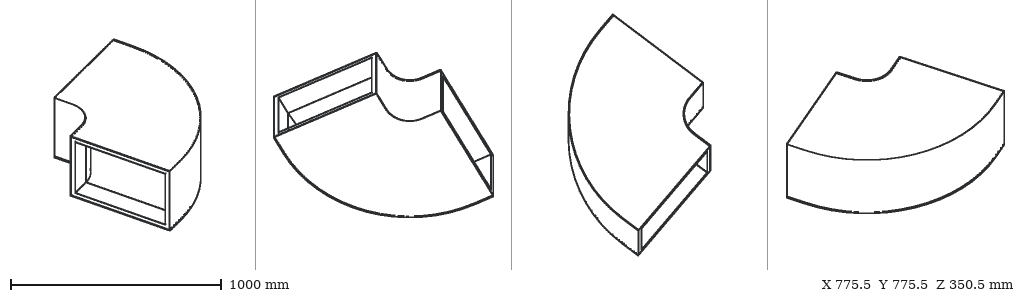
import cadquery as cq
import math

overall = 775.5
height = 350.5
leg = 100.0
throat_radius = 125.0
jacket_wall = 5.05
lining_wall = 20.0
sleeve_wall = 2.0

heel_radius = overall - leg
lining_inset = jacket_wall + lining_wall
bore_inset = lining_inset + sleeve_wall


def elbow_block(inset):
    """Solid elbow whose long sides, top and bottom are moved in by inset."""
    inner = throat_radius + inset
    outer = heel_radius - inset
    inner_mid = leg + inner * math.sqrt(0.5)
    outer_mid = leg + outer * math.sqrt(0.5)
    return (
        cq.Workplane("XY")
        .workplane(offset=inset - height / 2)
        .moveTo(0, leg + inner)
        .lineTo(leg, leg + inner)
        .threePointArc((inner_mid, inner_mid), (leg + inner, leg))
        .lineTo(leg + inner, 0)
        .lineTo(leg + outer, 0)
        .lineTo(leg + outer, leg)
        .threePointArc((outer_mid, outer_mid), (leg, leg + outer))
        .lineTo(0, leg + outer)
        .close()
        .extrude(height - 2 * inset)
    )


def zone(x_start, y_start, x_end, y_end):
    """Full-height box used to pick out one stretch of the elbow."""
    return (
        cq.Workplane("XY")
        .box(x_end - x_start, y_end - y_start, height, centered=(False, False, True))
        .translate((x_start, y_start, 0))
    )


def make_jacket():
    """Continuous thin jacket around the whole elbow."""
    return elbow_block(0).cut(elbow_block(jacket_wall))


def make_sleeves():
    """Thin straight sleeves around the bore at the X end and at the Y end."""
    full_sleeve = elbow_block(lining_inset).cut(elbow_block(bore_inset))
    legs = [
        zone(0, leg, leg, overall),
        zone(leg, 0, overall, leg),
    ]
    return [full_sleeve.intersect(leg_zone) for leg_zone in legs]


def make_lining(sleeves):
    """Continuous thick lining, recessed at both ends so the sleeves sit flush with the bend."""
    lining = elbow_block(jacket_wall).cut(elbow_block(bore_inset))
    for sleeve in sleeves:
        lining = lining.cut(sleeve)
    return lining


jacket = make_jacket()
sleeves = make_sleeves()
lining = make_lining(sleeves)

result = cq.Compound.makeCompound([
    *jacket.solids().vals(),
    *lining.solids().vals(),
    *[solid for sleeve in sleeves for solid in sleeve.solids().vals()],
])